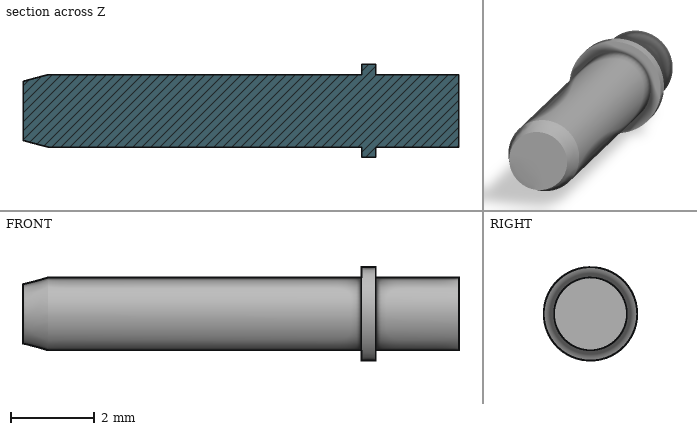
import cadquery as cq
import math

total_length = 10.45
body_diameter = 1.75
collar_diameter = 2.25
collar_thickness = 0.35
tail_length = 2.0
tip_length = 0.6
tip_half_angle = 15.0

collar_end = total_length - tail_length
collar_start = collar_end - collar_thickness
body_radius = body_diameter / 2
tip_radius = body_radius - tip_length * math.tan(math.radians(tip_half_angle))

pin = (
    cq.Workplane("XY")
    .moveTo(0, 0)
    .lineTo(0, tip_radius)
    .lineTo(tip_length, body_radius)
    .lineTo(total_length, body_radius)
    .lineTo(total_length, 0)
    .close()
    .revolve(360, (0, 0, 0), (1, 0, 0))
)

collar = (
    cq.Workplane("YZ")
    .workplane(offset=collar_start)
    .circle(collar_diameter / 2)
    .extrude(collar_thickness)
)

result = pin.union(collar)